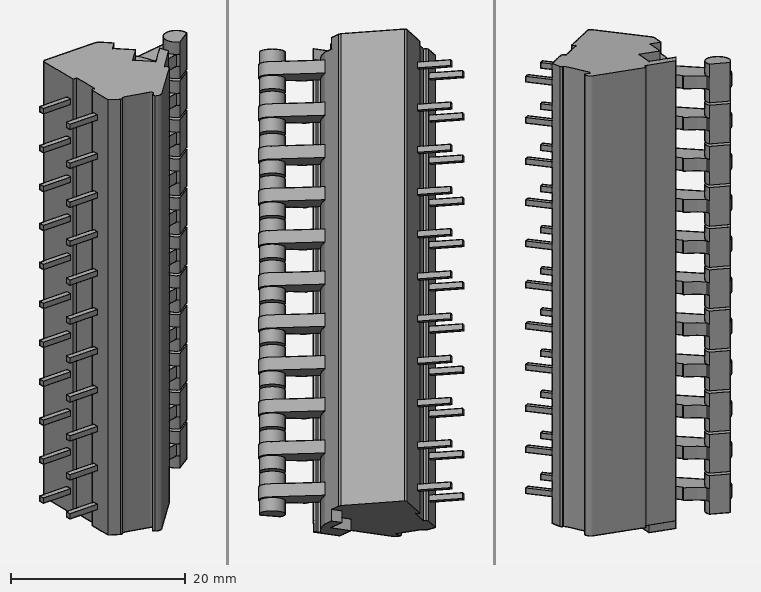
import cadquery as cq

TOTAL_LENGTH = 57.3
KEY_DEPTH = 1.4
BODY_LENGTH = TOTAL_LENGTH - KEY_DEPTH

POLE_COUNT = 11
FIRST_POLE_Z = 4.2
LAST_POLE_Z = 54.2
POLE_PITCH = (LAST_POLE_Z - FIRST_POLE_Z) / (POLE_COUNT - 1)

BODY_WALL_HEIGHT = 7.75
CORNER_BEVEL = 0.25
NOTCH_LEFT = 5.8
NOTCH_RIGHT = 9.1
NOTCH_DEPTH = 0.5

PIN_SIZE = 0.7
PIN_LENGTH = 3.95
PIN_EMBED = 1.15
FIRST_PIN_X = 5.0
PIN_ROWS_X = (FIRST_PIN_X, FIRST_PIN_X + POLE_PITCH)

LEVER_THICKNESS = 1.55
KNOB_LENGTH = 4.7
KNOB_RADIUS = 1.5
KNOB_X = 3.2
KNOB_Y = 16.85
LEVER_TOP = KNOB_Y + KNOB_RADIUS
ARM_TIP_X = 2.85
ARM_TIP_LEFT = ARM_TIP_X - KNOB_RADIUS
FLAT_TOP = (3.25, LEVER_TOP)
FLAT_BOTTOM = (4.65, 16.3)

KEY_START = (1.3, 9.35)
KEY_LOW_Y = 8.3
KEY_TOOTH = 1.9
KEY_TOP_Y = 14.3


def pole_positions():
    """Z of every pole centre."""
    return [FIRST_POLE_Z + index * POLE_PITCH for index in range(POLE_COUNT)]


def housing_prism(z_start, length):
    """Housing cross-section extruded along Z."""
    return (
        cq.Workplane("XY", origin=(0, 0, z_start))
        .moveTo(CORNER_BEVEL, 0)
        .lineTo(NOTCH_LEFT, 0)
        .lineTo(NOTCH_LEFT, NOTCH_DEPTH)
        .lineTo(NOTCH_RIGHT, NOTCH_DEPTH)
        .lineTo(NOTCH_RIGHT, CORNER_BEVEL)
        .lineTo(NOTCH_RIGHT + CORNER_BEVEL, 0)
        .lineTo(12.4, 0)
        .lineTo(13.1, 1.2)
        .lineTo(13.1, 1.5)
        .lineTo(12.95, 1.6)
        .lineTo(12.95, 2.05)
        .lineTo(13.75, 4.9)
        .threePointArc((13.9, 5.15), (14.3, 5.0))
        .lineTo(14.55, 4.7)
        .lineTo(14.85, 4.85)
        .threePointArc((15.0, 5.4), (14.85, 5.85))
        .lineTo(10.2, 10.5)
        .threePointArc((10.0, 10.55), (9.8, 10.4))
        .lineTo(9.55, 10.25)
        .lineTo(6.75, 13.0)
        .lineTo(5.85, 12.7)
        .lineTo(5.45, 12.55)
        .lineTo(5.45, 12.25)
        .lineTo(5.7, 12.1)
        .lineTo(5.7, 11.8)
        .threePointArc((3.85, 11.2), (2.4, 10.3))
        .lineTo(0.2, 8.1)
        .lineTo(0, BODY_WALL_HEIGHT)
        .lineTo(0, CORNER_BEVEL)
        .close()
        .extrude(length)
    )


def coupling_key(z_start):
    """Zigzag key bounded above by the housing outline."""
    first_low_x = KEY_START[0] + KEY_START[1] - KEY_LOW_Y
    peak = (first_low_x + KEY_TOOTH, KEY_LOW_Y + KEY_TOOTH)
    second_low_x = first_low_x + 2 * KEY_TOOTH
    right = (peak[0] + 2 * KEY_TOOTH, peak[1])
    right_end_x = right[0] - (KEY_TOP_Y - right[1])
    left_end_x = KEY_START[0] - (KEY_TOP_Y - KEY_START[1])
    zigzag = (
        cq.Workplane("XY", origin=(0, 0, z_start))
        .polyline([
            KEY_START,
            (first_low_x, KEY_LOW_Y),
            peak,
            (second_low_x, KEY_LOW_Y),
            right,
            (right_end_x, KEY_TOP_Y),
            (left_end_x, KEY_TOP_Y),
        ])
        .close()
        .extrude(KEY_DEPTH)
    )
    return zigzag.intersect(housing_prism(z_start, KEY_DEPTH))


def lever_arm():
    """Flat lever arm centred on Z = 0, its root buried in the housing."""
    diagonal = KNOB_RADIUS * 0.5 ** 0.5
    return (
        cq.Workplane("XY")
        .moveTo(2.45, 10.0)
        .lineTo(ARM_TIP_LEFT, KNOB_Y)
        .threePointArc((ARM_TIP_X - diagonal, KNOB_Y + diagonal), (ARM_TIP_X, LEVER_TOP))
        .lineTo(*FLAT_TOP)
        .lineTo(*FLAT_BOTTOM)
        .lineTo(4.4, 16.0)
        .lineTo(4.65, 14.9)
        .lineTo(5.35, 13.45)
        .lineTo(5.15, 13.25)
        .lineTo(5.15, 12.4)
        .lineTo(5.35, 11.6)
        .lineTo(5.35, 10.0)
        .close()
        .extrude(LEVER_THICKNESS / 2, both=True)
    )


def lever_knob():
    """Round finger knob centred on Z = 0, with the same slanted flat as the arm."""
    knob = (
        cq.Workplane("XY")
        .center(KNOB_X, KNOB_Y)
        .circle(KNOB_RADIUS)
        .extrude(KNOB_LENGTH / 2, both=True)
    )
    run = FLAT_BOTTOM[0] - FLAT_TOP[0]
    drop = FLAT_TOP[1] - FLAT_BOTTOM[1]
    above = (FLAT_TOP[0] - run, FLAT_TOP[1] + drop)
    below = (FLAT_BOTTOM[0] + run, FLAT_BOTTOM[1] - drop)
    trimmed_side = (
        cq.Workplane("XY")
        .polyline([above, below, (below[0], above[1])])
        .close()
        .extrude(KNOB_LENGTH, both=True)
    )
    return knob.cut(trimmed_side)


def solder_pins(pole_z):
    """Both square pins of one pole."""
    return (
        cq.Workplane("XY")
        .pushPoints([(pin_x, (PIN_EMBED - PIN_LENGTH) / 2) for pin_x in PIN_ROWS_X])
        .rect(PIN_SIZE, PIN_LENGTH + PIN_EMBED)
        .extrude(PIN_SIZE / 2, both=True)
        .translate((0, 0, pole_z))
    )


result = (
    housing_prism(KEY_DEPTH, BODY_LENGTH)
    .cut(coupling_key(BODY_LENGTH))
    .union(coupling_key(0))
)

lever = lever_arm().union(lever_knob())
for z in pole_positions():
    result = result.union(lever.translate((0, 0, z))).union(solder_pins(z))